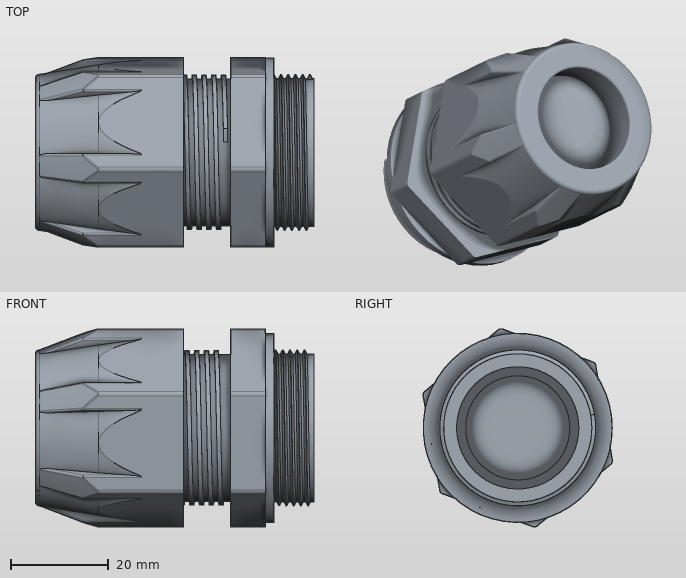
import cadquery as cq
import math


ACROSS_FLATS = 36.0
CORNER_FILLET = 1.0
HEX_TURN = 40.0
FLAT_TURN = HEX_TURN + 30
CORNER_RADIUS = ACROSS_FLATS / math.sqrt(3)
CORNER_TIP_RADIUS = CORNER_RADIUS - CORNER_FILLET * (2 / math.sqrt(3) - 1)
FLAT_RADIUS = ACROSS_FLATS / 2

NUT_END = 30.4
HEX_START = 40.0
GASKET_START = 47.1
GASKET_END = 48.9
BODY_END = 57.1

RIM_FILLET = 0.8
RIM_RADIUS = 16.0
CONE_END = 12.9
SCALLOP_END = 21.65
SCALLOP_END_RADIUS = 19.25
SCALLOP_HALF_WIDTH = math.sqrt(SCALLOP_END_RADIUS**2 - FLAT_RADIUS**2)
RIB_EDGE_FILLET = 0.45
RIB_EDGE_LIMIT = 17.15
HUB_RADIUS = 11.4
NUT_BORE_RADIUS = 21.35 / 2
BORE_MOUTH_FILLET = 0.45

SEAL_START = 5.95
SEAL_END = 17.15
SEAL_RADIUS = 27.6 / 2
PLUG_START = 5.7
PLUG_FLAT_RADIUS = 5.7
PLUG_ROUND = 6.7
PLUG_OFFSET_Y = 0.3
PLUG_OFFSET_Z = 0.5

BODY_BORE_RADIUS = 25.05 / 2
NECK_RADIUS = 30.15 / 2
SPIGOT_RADIUS = 30.4 / 2
GASKET_RADIUS = 38.75 / 2

NECK_CREST_RADIUS = 31.7 / 2
NECK_PITCH = 2.0
NECK_RIDGE_WIDTH = 0.85
NECK_THREAD_TURNS = 8
NECK_THREAD_END = 39.0
NECK_THREAD_END_ANGLE = 82.0
NECK_RUNOUT_START = 38.0
NECK_RUNOUT_LENGTH = 5.7

SPIGOT_CREST_RADIUS = 16.0
SPIGOT_PITCH = 1.5
SPIGOT_RIDGE_WIDTH = 0.95
SPIGOT_CREST_WIDTH = 0.1
SPIGOT_THREAD_TURNS = 5.5
SPIGOT_THREAD_END = 56.3
SPIGOT_THREAD_END_ANGLE = 10.0

THREAD_ROOT_DEPTH = 0.3


def cylinder(start, end, radius):
    return cq.Workplane("YZ", origin=(start, 0, 0)).circle(radius).extrude(end - start)


def hexagon(start, end):
    blank = cq.Workplane("YZ", origin=(start, 0, 0)).polygon(6, 2 * CORNER_RADIUS).extrude(end - start)
    return blank.edges("|X").fillet(CORNER_FILLET).rotate((0, 0, 0), (1, 0, 0), HEX_TURN)


def nose(*profile_points):
    """Solid of revolution with a rounded front rim, continuing through (x, radius) points."""
    last_x = profile_points[-1][0]
    diagonal = RIM_FILLET * (1 - math.sqrt(0.5))
    outline = (
        cq.Workplane("XY")
        .lineTo(0, RIM_RADIUS - RIM_FILLET)
        .threePointArc((diagonal, RIM_RADIUS - diagonal), (RIM_FILLET, RIM_RADIUS))
    )
    for point in profile_points:
        outline = outline.lineTo(*point)
    return outline.lineTo(last_x, 0).close().revolve(360, (0, 0, 0), (1, 0, 0))


def make_ribbed_blank():
    """Hexagon tapered at the front, with the space between its six corner ribs cleared down to a hub."""
    rib_slope = (CORNER_TIP_RADIUS - RIM_RADIUS) / (CONE_END - RIM_FILLET)
    taper = (
        cq.Workplane("XY")
        .polyline([
            (0, 0),
            (0, RIM_RADIUS - RIM_FILLET * rib_slope),
            (CONE_END, CORNER_TIP_RADIUS),
            (NUT_END, CORNER_RADIUS),
            (NUT_END, 0),
        ])
        .close()
        .revolve(360, (0, 0, 0), (1, 0, 0))
    )
    blank = hexagon(0, NUT_END).intersect(taper)

    reach = 2 * FLAT_RADIUS
    half_width = reach * SCALLOP_HALF_WIDTH / FLAT_RADIUS
    wedge = (
        cq.Workplane("YZ")
        .polyline([(0, 0), (reach, -half_width), (reach, half_width)])
        .close()
        .extrude(SCALLOP_END)
        .cut(cylinder(0, SCALLOP_END, HUB_RADIUS))
    )
    for i in range(6):
        blank = blank.cut(wedge.rotate((0, 0, 0), (1, 0, 0), FLAT_TURN + 60 * i))
    return blank


def is_rib_edge(edge):
    """True for the outer edges of the ribs: far from the hub and between the rim and the wedges' ends."""
    middle = edge.Center()
    return RIM_FILLET < middle.x < RIB_EDGE_LIMIT and math.hypot(middle.y, middle.z) > RIM_RADIUS


def make_cap_nut():
    blank = make_ribbed_blank()
    rib_edges = [edge for edge in blank.edges().vals() if is_rib_edge(edge)]
    ribs = blank.newObject(rib_edges).fillet(RIB_EDGE_FILLET)
    scallop_floor = nose((CONE_END, FLAT_RADIUS), (SCALLOP_END, SCALLOP_END_RADIUS))
    nut = ribs.union(scallop_floor.intersect(hexagon(0, NUT_END)))
    nut = nut.intersect(nose((CONE_END, CORNER_TIP_RADIUS), (NUT_END, CORNER_RADIUS)))
    bore = cylinder(0, SEAL_START, NUT_BORE_RADIUS)
    nut = nut.cut(bore).faces("<X").edges(cq.selectors.RadiusNthSelector(0)).fillet(BORE_MOUTH_FILLET)
    seal_seat = cylinder(SEAL_START, SEAL_END, SEAL_RADIUS)
    thread_space = cylinder(SEAL_END, NUT_END, NECK_CREST_RADIUS)
    return nut.cut(seal_seat).cut(thread_space)


def thread_ridge(root_radius, crest_radius, root_width, crest_width, pitch, turns, end, end_angle):
    """Right-handed helical ridge that finishes at the given X and angle from +Y about +X."""
    height = pitch * turns
    sunk_radius = root_radius - THREAD_ROOT_DEPTH
    flank_slope = (root_width - crest_width) / (crest_radius - root_radius)
    sunk_width = root_width + THREAD_ROOT_DEPTH * flank_slope
    section = [
        (sunk_radius, -sunk_width / 2),
        (crest_radius, -crest_width / 2),
        (crest_radius, crest_width / 2),
        (sunk_radius, sunk_width / 2),
    ]
    helix = cq.Wire.makeHelix(pitch, height, root_radius)
    ridge = cq.Workplane("XZ").polyline(section).close().sweep(cq.Workplane(helix), isFrenet=True)
    along_x = cq.Workplane(ridge.val().moved(cq.Plane.named("YZ").location))
    start_angle = end_angle - 360 * turns
    return along_x.rotate((0, 0, 0), (1, 0, 0), start_angle).translate((end - height, 0, 0))


def make_neck_runout():
    """Space above the flat on which the neck thread runs out at the top of its last turn."""
    depth = NECK_CREST_RADIUS - NECK_RADIUS
    size = (HEX_START - NECK_RUNOUT_START, NECK_RUNOUT_LENGTH, depth)
    corner = (NECK_RUNOUT_START, 0, NECK_RADIUS)
    return cq.Workplane("XY", origin=corner).box(*size, centered=False)


def make_body():
    neck = cylinder(SEAL_END, HEX_START, NECK_RADIUS)
    spigot = cylinder(GASKET_START, BODY_END, SPIGOT_RADIUS)
    neck_thread = thread_ridge(
        NECK_RADIUS, NECK_CREST_RADIUS, NECK_RIDGE_WIDTH, NECK_RIDGE_WIDTH,
        NECK_PITCH, NECK_THREAD_TURNS, NECK_THREAD_END, NECK_THREAD_END_ANGLE,
    )
    spigot_thread = thread_ridge(
        SPIGOT_RADIUS, SPIGOT_CREST_RADIUS, SPIGOT_RIDGE_WIDTH, SPIGOT_CREST_WIDTH,
        SPIGOT_PITCH, SPIGOT_THREAD_TURNS, SPIGOT_THREAD_END, SPIGOT_THREAD_END_ANGLE,
    )
    threaded_neck = neck.union(neck_thread.cut(make_neck_runout()))
    threaded_spigot = spigot.union(spigot_thread)
    body = threaded_neck.union(hexagon(HEX_START, GASKET_START)).union(threaded_spigot)
    return body.cut(cylinder(SEAL_END, BODY_END, BODY_BORE_RADIUS))


def make_gasket():
    ring = cylinder(GASKET_START, GASKET_END, GASKET_RADIUS)
    return ring.cut(cylinder(GASKET_START, GASKET_END, SPIGOT_CREST_RADIUS))


def make_seal():
    return cylinder(SEAL_START, SEAL_END, SEAL_RADIUS).cut(cylinder(SEAL_START, SEAL_END, NUT_BORE_RADIUS))


def make_plug():
    """Plug filling the seal's bore, its front a flat with a wide rounded border."""
    dome = cylinder(PLUG_START, SEAL_END, PLUG_FLAT_RADIUS + PLUG_ROUND)
    dome = dome.faces("<X").edges().fillet(PLUG_ROUND)
    dome = dome.translate((0, PLUG_OFFSET_Y, PLUG_OFFSET_Z))
    return cylinder(PLUG_START, SEAL_END, NUT_BORE_RADIUS).intersect(dome)


cap_nut = make_cap_nut()
body = make_body()
gasket = make_gasket()
seal = make_seal()
plug = make_plug()

result = cq.Compound.makeCompound([cap_nut.val(), body.val(), gasket.val(), seal.val(), plug.val()])